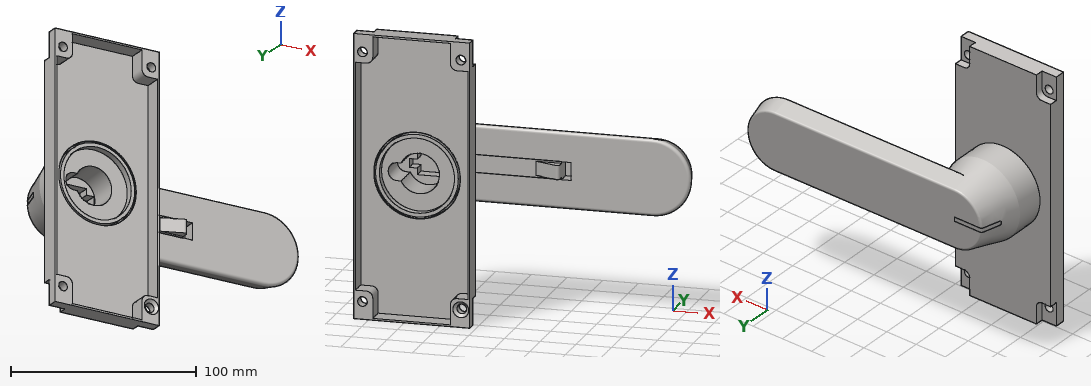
import cadquery as cq
import math

PLATE_WIDTH = 65.0
PLATE_HEIGHT = 160.0
PLATE_DEPTH = 11.3
WALL = 1.0
NOTCH_WIDTH = 9.7
NOTCH_HEIGHT = 15.0
NOTCH_DEPTH = 5.0
CORNER_RADIUS = 3.7
SCREW_SPACING_X = 55.2
SCREW_SPACING_Z = 140.0
SCREW_RADIUS = 2.7
COUNTERSINK_RADIUS = 4.5
PLATE_HOLE_RADIUS = 24.2

TOTAL_DEPTH = 53.8
KNOB_RADIUS = 25.3
KNOB_STRAIGHT = 17.3
DRAFT = 15
TOP_FILLET = 1.5
RIM_RADIUS = 23.2
RECESS_RADIUS = 21.0
RECESS_DEPTH = 4.2
BORE_RADIUS = 11.3
BORE_DEPTH = 17.7
KEYWAY_WIDTH = 10.0
KEYWAY_REACH = 17.3
SOCKET_SIDE = 12.4
SOCKET_EAR_SPAN = 21.4
SOCKET_EAR_HEIGHT = 5.0
SOCKET_DEPTH = 7.0
MARK_WIDTH = 2.7
MARK_LENGTH = 12.9
MARK_DEPTH = 0.2
MARK_CORNER = 1.0

HANDLE_TIP_X = 176.9
HANDLE_THICKNESS = 12.7
HANDLE_BACK_FILLET = 1.8
LEVER_WIDTH = 10.0
LEVER_RECESS = 0.5
LEVER_END_X = 104.5
LEVER_GAP = 5.5
GAP_DEPTH = 8.0
HOOK_WIDTH = 8.0
HOOK_LENGTH = 14.5
HOOK_ANGLE = 20.7
HOOK_TIP_RADIUS = 1.49

AXIS_X = PLATE_WIDTH / 2
FLOOR_Y = PLATE_DEPTH - WALL
CONE_START_Y = PLATE_DEPTH + KNOB_STRAIGHT
HANDLE_BACK_Y = TOTAL_DEPTH - HANDLE_THICKNESS
LEVER_Y = HANDLE_BACK_Y + LEVER_RECESS
RECESS_FLOOR_Y = FLOOR_Y + RECESS_DEPTH
BORE_FLOOR_Y = RECESS_FLOOR_Y + BORE_DEPTH
DRAFT_SLOPE = math.tan(math.radians(DRAFT))


def cone_radius(y):
    """Radius of the conical surface shared by the knob and the handle sides."""
    return KNOB_RADIUS - (y - CONE_START_Y) * DRAFT_SLOPE


def facing_plane(x, y):
    """Sketch plane at depth y: local x is +X, local y is +Z, extrusion runs towards -Y."""
    return cq.Workplane("XZ", origin=(x, y, 0))


def block(x0, x1, y0, y1, height):
    """Box between two X and two Y positions, centred on Z = 0."""
    return facing_plane((x0 + x1) / 2, y0).rect(x1 - x0, height).extrude(y0 - y1)


def cylinder(radius, y0, y1):
    """Cylinder on the knob axis."""
    return facing_plane(AXIS_X, y0).circle(radius).extrude(y0 - y1)


def corner_blocks(width, height, y0, y1):
    """Four blocks filling the plate corners, each with its inward upright edge rounded."""
    span_x = PLATE_WIDTH - 2 * width
    span_z = PLATE_HEIGHT - 2 * height
    blocks = block(0, PLATE_WIDTH, y0, y1, PLATE_HEIGHT)
    blocks = blocks.cut(block(width, width + span_x, y0, y1, PLATE_HEIGHT))
    blocks = blocks.cut(block(0, PLATE_WIDTH, y0, y1, span_z))
    rounded = cq.Workplane("XY")
    for solid in blocks.solids().vals():
        side_x = ">X" if solid.Center().x < AXIS_X else "<X"
        side_z = ">Z" if solid.Center().z < 0 else "<Z"
        inner_edge = cq.Workplane(solid).faces(side_x).edges("|Y").edges(side_z)
        rounded = rounded.add(inner_edge.fillet(CORNER_RADIUS).val())
    return rounded


def make_plate():
    """Tray with solid corner pads, corner notches in its +Y face, screw holes and the knob hole."""
    plate = block(0, PLATE_WIDTH, 0, PLATE_DEPTH, PLATE_HEIGHT)

    cavity = block(WALL, PLATE_WIDTH - WALL, 0, FLOOR_Y, PLATE_HEIGHT - 2 * WALL)
    pads = corner_blocks(NOTCH_WIDTH + WALL, NOTCH_HEIGHT + WALL, 0, FLOOR_Y)
    for pad in pads.vals():
        cavity = cavity.cut(cq.Workplane(pad))
    plate = plate.cut(cavity)

    notch_floor_y = PLATE_DEPTH - NOTCH_DEPTH
    notches = corner_blocks(NOTCH_WIDTH, NOTCH_HEIGHT, notch_floor_y, PLATE_DEPTH)
    for notch in notches.vals():
        plate = plate.cut(cq.Workplane(notch))

    screw_points = facing_plane(AXIS_X, 0).rect(SCREW_SPACING_X, SCREW_SPACING_Z, forConstruction=True)
    plate = plate.cut(screw_points.vertices().circle(SCREW_RADIUS).extrude(-PLATE_DEPTH))

    sink_depth = COUNTERSINK_RADIUS - SCREW_RADIUS
    sink_centre = cq.Vector(AXIS_X + SCREW_SPACING_X / 2, 0, -SCREW_SPACING_Z / 2)
    sink = cq.Solid.makeCone(COUNTERSINK_RADIUS, SCREW_RADIUS, sink_depth, sink_centre, cq.Vector(0, 1, 0))
    plate = plate.cut(cq.Workplane(sink))

    return plate.cut(cylinder(PLATE_HOLE_RADIUS, 0, PLATE_DEPTH))


def knob_blank(inset):
    """Turned knob body with a rounded top; inset shrinks it evenly along the cone and the top."""
    top_y = TOTAL_DEPTH - inset
    side_inset = inset / math.cos(math.radians(DRAFT))
    profile = (
        cq.Workplane("YZ", origin=(AXIS_X, 0, 0))
        .moveTo(PLATE_DEPTH, 0)
        .lineTo(PLATE_DEPTH, KNOB_RADIUS - side_inset)
        .lineTo(CONE_START_Y, KNOB_RADIUS - side_inset)
        .lineTo(top_y, cone_radius(top_y) - side_inset)
        .lineTo(top_y, 0)
        .close()
    )
    blank = profile.revolve(360, (0, 0, 0), (1, 0, 0))
    return blank.faces(">Y").edges().fillet(TOP_FILLET)


def make_mark():
    """Pointer groove on the -X side of the cone, running out at the top."""
    mark_y = TOTAL_DEPTH - MARK_LENGTH
    bar = block(AXIS_X - KNOB_RADIUS, AXIS_X, mark_y, TOTAL_DEPTH, MARK_WIDTH)
    bar = bar.faces("<Y").edges("|X").fillet(MARK_CORNER)
    return bar.cut(knob_blank(MARK_DEPTH))


def make_bore():
    """Recess, keyhole bore and cross-shaped shaft socket, one behind the other."""
    recess = cylinder(RECESS_RADIUS, FLOOR_Y, RECESS_FLOOR_Y)
    bore = cylinder(BORE_RADIUS, RECESS_FLOOR_Y, BORE_FLOOR_Y)
    keyway = (
        facing_plane(AXIS_X - KEYWAY_REACH / 2, RECESS_FLOOR_Y)
        .slot2D(KEYWAY_REACH, KEYWAY_WIDTH)
        .extrude(-BORE_DEPTH)
    )
    socket_end_y = BORE_FLOOR_Y + SOCKET_DEPTH
    half_side = SOCKET_SIDE / 2
    half_ears = SOCKET_EAR_SPAN / 2
    socket = block(AXIS_X - half_side, AXIS_X + half_side, BORE_FLOOR_Y, socket_end_y, SOCKET_SIDE)
    ears = block(AXIS_X - half_ears, AXIS_X + half_ears, BORE_FLOOR_Y, socket_end_y, SOCKET_EAR_HEIGHT)
    return recess.union(bore).union(keyway).union(socket).union(ears)


def make_bar():
    """Handle bar: its round ends are cones matching the knob, so its sides leave the knob tangentially."""
    sharp_radius = cone_radius(HANDLE_BACK_Y)
    edge_loss = HANDLE_BACK_FILLET * (1 / math.tan(math.radians((90 - DRAFT) / 2)) - 1)
    end_x = HANDLE_TIP_X + edge_loss - sharp_radius
    length = end_x - AXIS_X + 2 * sharp_radius
    bar = (
        facing_plane((AXIS_X + end_x) / 2, HANDLE_BACK_Y)
        .slot2D(length, 2 * sharp_radius)
        .extrude(-HANDLE_THICKNESS, taper=DRAFT)
        .faces("<Y").edges().fillet(HANDLE_BACK_FILLET)
        .faces(">Y").edges().fillet(TOP_FILLET)
    )
    beyond_axis = block(AXIS_X, HANDLE_TIP_X + KNOB_RADIUS, 0, TOTAL_DEPTH, 2 * KNOB_RADIUS)
    return bar.intersect(beyond_axis)


def make_hook():
    """Wedge-shaped catch at the end of the lever."""
    start_x = LEVER_END_X - HOOK_LENGTH
    tip_y = LEVER_Y - HOOK_LENGTH * math.tan(math.radians(HOOK_ANGLE))
    hook = (
        cq.Workplane("XY", origin=(0, 0, -HOOK_WIDTH / 2))
        .polyline([(start_x, LEVER_Y), (LEVER_END_X, tip_y), (LEVER_END_X, LEVER_Y)])
        .close()
        .extrude(HOOK_WIDTH)
    )
    return hook.edges("|Z").edges("<Y").fillet(HOOK_TIP_RADIUS)


def make_knob():
    """Knob with its handle; a ring groove leaves a rim standing into the plate hole."""
    gap_end_x = LEVER_END_X + LEVER_GAP
    lever_slot = block(AXIS_X, gap_end_x, HANDLE_BACK_Y, LEVER_Y, LEVER_WIDTH)
    gap = block(LEVER_END_X, gap_end_x, HANDLE_BACK_Y, HANDLE_BACK_Y + GAP_DEPTH, LEVER_WIDTH)
    handle = make_bar().cut(lever_slot).cut(gap).union(make_hook())

    body = knob_blank(0).cut(make_mark()).union(handle)
    groove = cylinder(PLATE_HOLE_RADIUS, PLATE_DEPTH, RECESS_FLOOR_Y)
    rim = cylinder(RIM_RADIUS, FLOOR_Y, RECESS_FLOOR_Y)
    return body.cut(groove).union(rim).cut(make_bore())


plate = make_plate()
knob = make_knob()

result = cq.Compound.makeCompound([plate.solids().val(), knob.solids().val()])